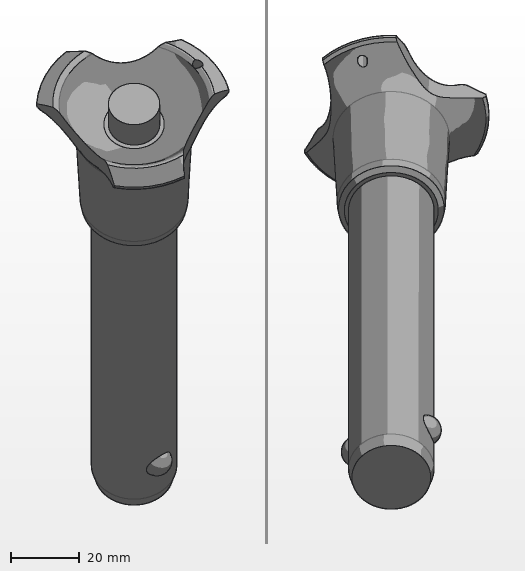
import cadquery as cq
import math


total_height = 182.7
shaft_length = 132.2
top_z = total_height - shaft_length

shaft_radius = 12.5
tip_radius = 11.5
tip_height = 4.3

ball_radius = 4.5
ball_reach = 15.3
ball_z = 18.0 - shaft_length

collar_bottom_radius = 13.7
collar_shoulder_radius = 15.4
collar_shoulder_z = 1.0
collar_band_radius = 15.8
collar_band_z = 3.7
collar_top_radius = 17.0
collar_top_z = top_z - 14.9

flare_mid = (20.5, top_z - 8.6)
flare_end = (27.6, top_z - 4.9)

rim_radius = 28.5
rim_edge_low_z = top_z - 3.9
rim_edge_high_z = top_z - 2.8
rim_crest_radius = 23.7
rim_inner_radius = 21.9
rim_inner_z = top_z - 0.7

bowl_mid = (17.9, top_z - 5.05)
bowl_floor_radius = 8.8
bowl_floor_z = top_z - 10.6

button_radius = 7.5
button_top_z = top_z - 0.6

notches = [
    (30.0, 18.2, 36.3),
    (150.0, 18.2, 36.3),
    (270.0, 18.1, 40.9),
]

hole_radius = 1.5
hole_offset = 23.4


def make_handle():
    """Collar and bowl-shaped handle revolved as one body."""
    crest_run = rim_crest_radius - rim_inner_radius
    crest_drop = top_z - rim_inner_z
    crest_round = (crest_run**2 + crest_drop**2) / (2 * crest_drop)
    half_sweep = math.asin(crest_run / crest_round) / 2
    crest_mid = (
        rim_crest_radius - crest_round * math.sin(half_sweep),
        top_z - crest_round * (1 - math.cos(half_sweep)),
    )
    profile = (
        cq.Workplane("XZ")
        .moveTo(0, 0)
        .lineTo(collar_bottom_radius, 0)
        .lineTo(collar_shoulder_radius, collar_shoulder_z)
        .lineTo(collar_band_radius, collar_band_z)
        .lineTo(collar_top_radius, collar_top_z)
        .threePointArc(flare_mid, flare_end)
        .lineTo(rim_radius, rim_edge_low_z)
        .lineTo(rim_radius, rim_edge_high_z)
        .lineTo(rim_crest_radius, top_z)
        .threePointArc(crest_mid, (rim_inner_radius, rim_inner_z))
        .threePointArc(bowl_mid, (bowl_floor_radius, bowl_floor_z))
        .lineTo(0, bowl_floor_z)
        .close()
    )
    return profile.revolve(360, (0, 0, 0), (0, 1, 0))


def make_notch(direction, depth_radius, half_gap):
    """Vertical cylinder meeting the rim circle at +/- half_gap about its direction."""
    chord_distance = rim_radius * math.cos(math.radians(half_gap))
    half_chord = rim_radius * math.sin(math.radians(half_gap))
    sagitta = chord_distance - depth_radius
    cutter_radius = (half_chord**2 + sagitta**2) / (2 * sagitta)
    cutter = (
        cq.Workplane("XY", origin=(0, 0, collar_band_z))
        .center(depth_radius + cutter_radius, 0)
        .circle(cutter_radius)
        .extrude(total_height)
    )
    return cutter.rotate((0, 0, 0), (0, 0, 1), direction)


def make_lanyard_hole():
    return (
        cq.Workplane("XY", origin=(0, hole_offset, collar_band_z))
        .circle(hole_radius)
        .extrude(total_height)
    )


def make_button():
    return (
        cq.Workplane("XY")
        .circle(button_radius)
        .extrude(button_top_z)
    )


def make_shaft():
    """Plain shaft with a tapered lead-in at its lower end."""
    profile = (
        cq.Workplane("XZ")
        .moveTo(0, 0)
        .lineTo(shaft_radius, 0)
        .lineTo(shaft_radius, tip_height - shaft_length)
        .lineTo(tip_radius, -shaft_length)
        .lineTo(0, -shaft_length)
        .close()
    )
    return profile.revolve(360, (0, 0, 0), (0, 1, 0))


def make_ball(side):
    ball_x = side * (ball_reach - ball_radius)
    return cq.Workplane("XY", origin=(ball_x, 0, ball_z)).sphere(ball_radius)


result = make_handle()
for direction, depth_radius, half_gap in notches:
    result = result.cut(make_notch(direction, depth_radius, half_gap))
result = result.cut(make_lanyard_hole())
result = result.union(make_button()).union(make_shaft())
for side in (-1, 1):
    result = result.union(make_ball(side))